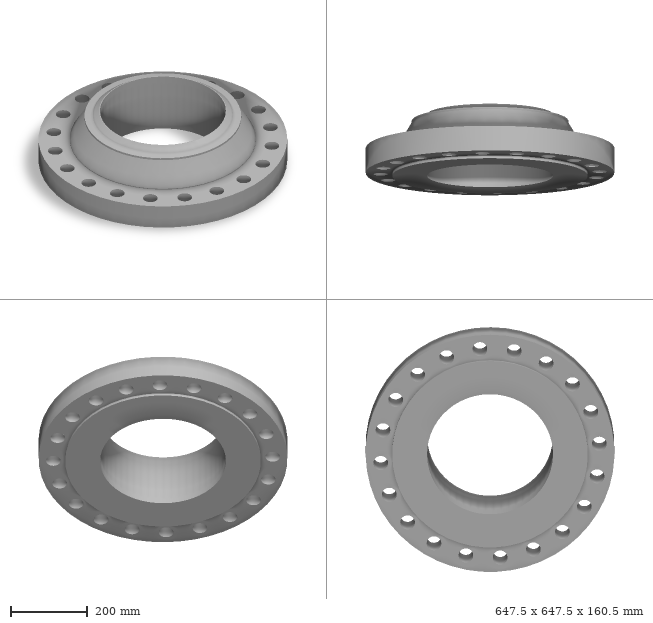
import cadquery as cq

flange_diameter = 647.5
flange_thickness = 65.5
bolt_circle_diameter = 571.0
bolt_count = 20
bolt_hole_diameter = 38.0

raised_face_diameter = 509.0
raised_face_height = 8.0

overall_height = 160.5
hub_base_diameter = 485.0
hub_foot_height = 2.0
hub_top_diameter = 408.0
bore_diameter = 327.5
hub_cone_height = 64.0
hub_band_height = 6.0
weld_end_diameter = 365.0
weld_bevel_height = 12.0
weld_land_width = 2.0

flange_top = raised_face_height + flange_thickness
hub_foot_top = flange_top + hub_foot_height
hub_cone_top = hub_foot_top + hub_cone_height
hub_band_top = hub_cone_top + hub_band_height
weld_bevel_bottom = overall_height - weld_bevel_height


def flange_body():
    """Revolved solid of plate, raised face, tapered hub and bevelled weld end."""
    bore_radius = bore_diameter / 2
    profile = [
        (bore_radius, 0),
        (raised_face_diameter / 2, 0),
        (raised_face_diameter / 2, raised_face_height),
        (flange_diameter / 2, raised_face_height),
        (flange_diameter / 2, flange_top),
        (hub_base_diameter / 2, flange_top),
        (hub_base_diameter / 2, hub_foot_top),
        (hub_top_diameter / 2, hub_cone_top),
        (hub_top_diameter / 2, hub_band_top),
        (weld_end_diameter / 2, weld_bevel_bottom),
        (bore_radius + weld_land_width, overall_height),
        (bore_radius, overall_height),
    ]
    return cq.Workplane("XZ").polyline(profile).close().revolve(360, (0, 0), (0, 1))


def bolt_holes():
    """Ring of through-hole cutters, the first one on the +X axis."""
    return (
        cq.Workplane("XY")
        .polarArray(bolt_circle_diameter / 2, 0, 360, bolt_count)
        .circle(bolt_hole_diameter / 2)
        .extrude(flange_top)
    )


result = flange_body().cut(bolt_holes())